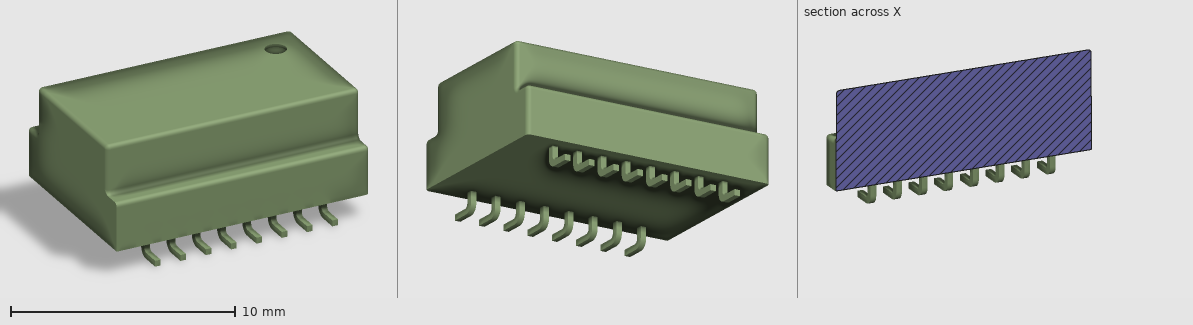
import cadquery as cq

overall_width = 9.4
length = 12.7
overall_height = 5.8

base_width = 8.75
roof_width = 6.78
standoff = 1.0
shelf_z = 3.39
edge_radius = 0.2
cove_radius = 0.2

marker_diameter = 1.0
marker_x = -1.9
marker_y = 4.85
marker_depth = 0.15

pins_per_side = 8
pin_pitch = 1.27
pin_width = 0.28
leg_thickness = 0.32
foot_thickness = 0.29
leg_inner_x = 3.33
bend_inner_radius = 0.2
bend_outer_radius = 0.45

base_half = base_width / 2
roof_half = roof_width / 2
front_y = -length / 2


def rounded_housing():
    """Stepped prism with coved steps and every edge above the base plane rounded."""
    right_side = [
        (roof_half, overall_height),
        (roof_half, shelf_z),
        (base_half, shelf_z),
        (base_half, standoff),
    ]
    left_side = [(-x, z) for x, z in reversed(right_side)]
    prism = cq.Workplane("XZ").polyline(right_side + left_side).close().extrude(length / 2, both=True)

    prism = prism.edges("|Y").edges("not (<Z or >Z or <X or >X)").fillet(cove_radius)

    long_edges = prism.edges("|Y").edges(">Z or ((<X or >X) and (not <Z))")
    end_outlines = prism.faces("<Y or >Y").edges("not <Z")
    return prism.newObject(long_edges.vals() + end_outlines.vals()).fillet(edge_radius)


def square_front_shelf():
    """Front half of the +X shelf, with sharp edges along its -Y end face."""
    shelf_start = roof_half - edge_radius
    shelf = (
        cq.Workplane("XY", origin=(shelf_start, front_y, standoff))
        .box(base_half - shelf_start, length / 2, shelf_z - standoff, centered=False)
    )
    return shelf.edges("|Y and >X and >Z").fillet(edge_radius)


def cove_around_roof_corner():
    """+X cove carried around the rounded -Y corner of the roof block, flush with the end face."""
    cove_profile = (
        cq.Workplane("XZ", origin=(roof_half - edge_radius, front_y + edge_radius, shelf_z))
        .lineTo(edge_radius + cove_radius, 0)
        .radiusArc((edge_radius, cove_radius), cove_radius)
        .lineTo(0, cove_radius)
        .close()
    )
    corner = cove_profile.revolve(90, (0, 0), (0, -1))
    envelope = cq.Workplane("XY").box(base_width, length, 2 * overall_height)
    return corner.intersect(envelope)


def pin(y):
    """Gull-wing pin on the +X side: a leg down from the base and a foot pointing outward."""
    foot_tip = overall_width / 2
    leg_outer_x = leg_inner_x + leg_thickness
    profile = (
        cq.Workplane("XZ", origin=(0, y, 0))
        .moveTo(leg_inner_x, standoff)
        .lineTo(leg_inner_x, 0)
        .lineTo(foot_tip, 0)
        .lineTo(foot_tip, foot_thickness)
        .lineTo(leg_outer_x, foot_thickness)
        .lineTo(leg_outer_x, standoff)
        .close()
    )
    blank = profile.extrude(pin_width / 2, both=True)
    outer_bend = blank.edges("|Y and <X and <Z").fillet(bend_outer_radius)
    inner_corner = cq.selectors.NearestToPointSelector((leg_outer_x, y, foot_thickness))
    return outer_bend.edges("|Y").edges(inner_corner).fillet(bend_inner_radius)


housing = rounded_housing().union(square_front_shelf()).union(cove_around_roof_corner())

marker = (
    cq.Workplane("XY", origin=(marker_x, marker_y, overall_height - marker_depth))
    .circle(marker_diameter / 2)
    .extrude(marker_depth)
)
result = housing.cut(marker)

for index in range(pins_per_side):
    right_pin = pin((index - (pins_per_side - 1) / 2) * pin_pitch)
    result = result.union(right_pin).union(right_pin.mirror("YZ"))